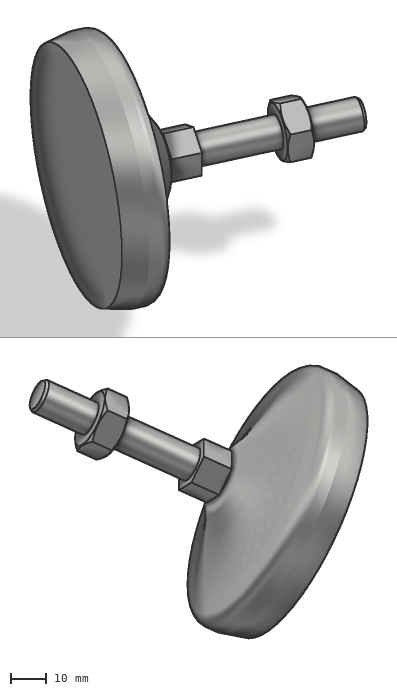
import cadquery as cq
import math


foot_radius = 40.0
floor_radius = 38.3
band_bottom = 7.5
band_top = 11.1
foot_height = 25.0
rim_radius = 3.6
dome_radius = 55.0
dome_outer_slope = math.radians(6.0)
dome_inner_slope = math.radians(35.0)

rod_radius = 5.0
total_height = 85.0
tip_chamfer_length = 0.9
tip_chamfer_depth = 0.6

wrench_flats = 14.0
wrench_bottom = 26.0
wrench_height = 9.0

nut_flats = 17.0
nut_bottom = 60.0
nut_height = 8.0
nut_face_radius = 8.3
nut_chamfer_angle = math.radians(30.0)


def point_on_circle(center, radius, angle):
    """Point at the given angle from +Y, turning toward +X."""
    return (center[0] + radius * math.sin(angle), center[1] + radius * math.cos(angle))


def revolve_about_y(profile):
    return profile.close().revolve(360, (0, 0, 0), (0, 1, 0))


def make_foot():
    """Tapered base, straight band, rounded rim and concave dome with a rounded crown."""
    rim_center = (foot_radius - rim_radius, band_top)
    rim_end = point_on_circle(rim_center, rim_radius, dome_outer_slope)
    rim_middle = point_on_circle(rim_center, rim_radius, (math.pi / 2 + dome_outer_slope) / 2)

    dome_center = point_on_circle(rim_end, dome_radius, dome_outer_slope)
    dome_middle_slope = (dome_outer_slope + dome_inner_slope) / 2
    dome_middle = point_on_circle(dome_center, -dome_radius, dome_middle_slope)
    dome_end = point_on_circle(dome_center, -dome_radius, dome_inner_slope)

    crown_radius = (foot_height - dome_end[1]) / (1 - math.cos(dome_inner_slope))
    crown_center = point_on_circle(dome_end, -crown_radius, dome_inner_slope)
    crown_middle = point_on_circle(crown_center, crown_radius, dome_inner_slope / 2)
    crown_end = point_on_circle(crown_center, crown_radius, 0)

    profile = (
        cq.Workplane("XY")
        .lineTo(floor_radius, 0)
        .lineTo(foot_radius, band_bottom)
        .lineTo(foot_radius, band_top)
        .threePointArc(rim_middle, rim_end)
        .threePointArc(dome_middle, dome_end)
        .threePointArc(crown_middle, crown_end)
        .lineTo(0, foot_height)
    )
    return revolve_about_y(profile)


def make_rod():
    """Round rod standing on the foot, with a chamfered tip."""
    profile = (
        cq.Workplane("XY")
        .moveTo(0, foot_height)
        .lineTo(rod_radius, foot_height)
        .lineTo(rod_radius, total_height - tip_chamfer_length)
        .lineTo(rod_radius - tip_chamfer_depth, total_height)
        .lineTo(0, total_height)
    )
    return revolve_about_y(profile)


def make_hexagon(flats, bottom, height):
    """Hexagonal prism along Y with its flats facing +X and -X."""
    return (
        cq.Workplane("XZ", origin=(0, bottom, 0))
        .polygon(6, flats, circumscribed=True)
        .extrude(-height)
    )


def make_nut():
    """Hexagon nut whose corners are cut by a cone at both faces."""
    corner_radius = nut_flats / math.sqrt(3)
    chamfer_height = (corner_radius - nut_face_radius) * math.tan(nut_chamfer_angle)
    nut_top = nut_bottom + nut_height
    envelope = (
        cq.Workplane("XY")
        .moveTo(0, nut_bottom)
        .lineTo(nut_face_radius, nut_bottom)
        .lineTo(corner_radius, nut_bottom + chamfer_height)
        .lineTo(corner_radius, nut_top - chamfer_height)
        .lineTo(nut_face_radius, nut_top)
        .lineTo(0, nut_top)
    )
    return make_hexagon(nut_flats, nut_bottom, nut_height).intersect(revolve_about_y(envelope))


wrench_hexagon = make_hexagon(wrench_flats, wrench_bottom, wrench_height)
result = make_foot().union(make_rod()).union(wrench_hexagon).union(make_nut())